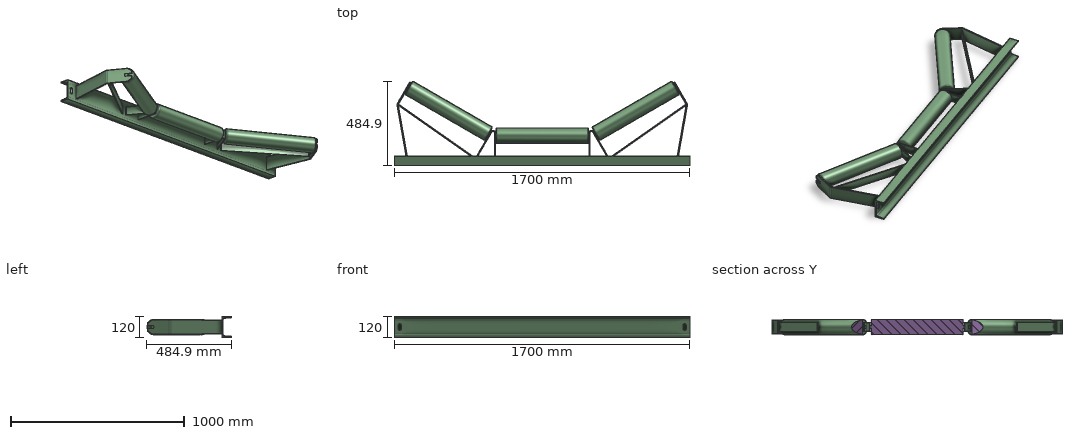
import cadquery as cq
import math


CHANNEL_LENGTH = 1700.0
CHANNEL_HEIGHT = 120.0
FLANGE_WIDTH = 55.0
WEB_THICKNESS = 7.0
FLANGE_MEAN_THICKNESS = 9.0
FLANGE_TAPER = 0.08
ROOT_RADIUS = 9.0
TOE_RADIUS = 4.5
MOUNT_SLOT_WIDTH = 18.0
MOUNT_SLOT_LENGTH = 38.0
MOUNT_SLOT_END_DISTANCE = 31.0

ROLLER_DIAMETER = 89.0
ROLLER_LENGTH = 530.0
ROLLER_EDGE_RADIUS = 5.0
SHAFT_DIAMETER = 20.0
SHAFT_FLATS = 15.0
END_GAP = 4.0
TROUGH_ANGLE = 30.0
CENTRE_AXIS_HEIGHT = 117.5
WING_CENTRE_X = 537.4
OVERALL_HEIGHT = 429.94

INNER_WIDTH = 50.0
INNER_PLATE = 6.0
INNER_BEND_RADIUS = 8.5
OUTER_WIDTH = 80.0
OUTER_PLATE = 8.0
OUTER_BEND_RADIUS = 8.0
OUTER_BEND_HEIGHT = 297.5
OUTER_LEG_LEAN = 10.0
OUTER_TIP_RISE = 32.0
TIP_CHAMFER_LENGTH = 24.0
TIP_CHAMFER_DEPTH = 15.0
BRACE_WIDTH = 50.0
BRACE_THICKNESS = 6.0
BRACE_ANGLE = 35.0

tilt = math.radians(TROUGH_ANGLE)
lean = math.radians(OUTER_LEG_LEAN)
brace_tilt = math.radians(BRACE_ANGLE)
roller_radius = ROLLER_DIAMETER / 2
support_distance = ROLLER_LENGTH / 2 + END_GAP

outward = cq.Vector(-math.cos(tilt), math.sin(tilt))
across = cq.Vector(math.sin(tilt), math.cos(tilt))
wing_centre = cq.Vector(
    -WING_CENTRE_X,
    OVERALL_HEIGHT
    - (ROLLER_LENGTH / 2 - ROLLER_EDGE_RADIUS) * math.sin(tilt)
    - (roller_radius - ROLLER_EDGE_RADIUS) * math.cos(tilt)
    - ROLLER_EDGE_RADIUS,
)


def mirrored_pair(left):
    return [left, left.mirror("YZ")]


def point_at_height(start, direction, height):
    """Point where the line through start meets the given Y."""
    return start + direction * ((height - start.y) / direction.y)


def meeting_point(start_a, direction_a, start_b, direction_b):
    """Point where two lines in the XY plane cross."""
    gap = start_b - start_a
    turn = direction_a.cross(direction_b).z
    return start_a + direction_a * (gap.cross(direction_b).z / turn)


def plate(points, width):
    """Flat profile in XY, extruded to the given width and centred on Z = 0."""
    outline = [(point.x, point.y) for point in points]
    return cq.Workplane("XY", origin=(0, 0, -width / 2)).polyline(outline).close().extrude(width)


def edge_at(point):
    return cq.selectors.NearestToPointSelector((point.x, point.y, 0))


def make_channel():
    half_height = CHANNEL_HEIGHT / 2
    toe = half_height - FLANGE_MEAN_THICKNESS + FLANGE_TAPER * FLANGE_WIDTH / 2
    root = toe - FLANGE_TAPER * (FLANGE_WIDTH - WEB_THICKNESS)
    upper = [
        (0, half_height),
        (-FLANGE_WIDTH, half_height),
        (-FLANGE_WIDTH, toe),
        (-WEB_THICKNESS, root),
    ]
    lower = [(y, -z) for y, z in reversed(upper)]
    body = (
        cq.Workplane("YZ", origin=(-CHANNEL_LENGTH / 2, 0, 0))
        .polyline(upper + lower).close().extrude(CHANNEL_LENGTH)
    )
    for side in (1, -1):
        for y, z, radius in ((-WEB_THICKNESS, root, ROOT_RADIUS), (-FLANGE_WIDTH, toe, TOE_RADIUS)):
            corner = cq.selectors.NearestToPointSelector((0, y, side * z))
            body = body.edges("|X").edges(corner).fillet(radius)
    slot_x = CHANNEL_LENGTH / 2 - MOUNT_SLOT_END_DISTANCE
    slots = (
        cq.Workplane("XZ").pushPoints([(-slot_x, 0), (slot_x, 0)])
        .slot2D(MOUNT_SLOT_LENGTH, MOUNT_SLOT_WIDTH, 90).extrude(WEB_THICKNESS)
    )
    return body.cut(slots)


def make_roller(centre, direction, start_plate, end_plate):
    """Roller with a shaft reaching the far faces of the plates at both ends."""
    middle = cq.Workplane(cq.Plane(origin=centre, xDir=(0, 0, 1), normal=direction))
    shell = (
        middle.workplane(offset=-ROLLER_LENGTH / 2)
        .circle(roller_radius).extrude(ROLLER_LENGTH)
        .edges("%CIRCLE").fillet(ROLLER_EDGE_RADIUS)
    )
    shaft_start = middle.workplane(offset=-support_distance - start_plate)
    shaft_length = 2 * support_distance + start_plate + end_plate
    shaft = shaft_start.circle(SHAFT_DIAMETER / 2).extrude(shaft_length)
    flats = shaft_start.rect(SHAFT_FLATS, SHAFT_DIAMETER).extrude(shaft_length)
    shaft = shaft.intersect(flats)
    return shell.union(shaft)


def make_inner_bracket(centre_roller, wing_roller):
    """Folded plate shared by the centre roller and the left wing roller."""
    up = cq.Vector(0, 1)
    centre_face = cq.Vector(-support_distance, CENTRE_AXIS_HEIGHT)
    centre_back = centre_face - cq.Vector(INNER_PLATE, 0)
    wing_face = wing_centre - outward * support_distance
    wing_back = wing_face - outward * INNER_PLATE
    outer_apex = meeting_point(centre_face, up, wing_face, across)
    inner_apex = meeting_point(centre_back, up, wing_back, across)
    body = plate(
        [
            point_at_height(centre_face, up, 0),
            outer_apex,
            point_at_height(wing_face, across, 0),
            point_at_height(wing_back, across, 0),
            inner_apex,
            point_at_height(centre_back, up, 0),
        ],
        INNER_WIDTH,
    )
    body = body.edges("|Z").edges(edge_at(outer_apex)).fillet(INNER_BEND_RADIUS + INNER_PLATE)
    body = body.edges("|Z").edges(edge_at(inner_apex)).fillet(INNER_BEND_RADIUS)
    return body.cut(centre_roller).cut(wing_roller)


outer_face = wing_centre + outward * support_distance
outer_back = outer_face + outward * OUTER_PLATE
leg_direction = cq.Vector(-math.sin(lean), math.cos(lean))
outer_bend_back = point_at_height(outer_back, across, OUTER_BEND_HEIGHT)
leg_face = outer_bend_back + cq.Vector(math.cos(lean), math.sin(lean)) * OUTER_PLATE
outer_bend_face = meeting_point(outer_face, across, leg_face, leg_direction)


def make_outer_bracket(wing_roller):
    """Bent plate whose chamfered tip holds the wing roller shaft in an open slot."""
    body = plate(
        [
            point_at_height(outer_bend_back, leg_direction, 0),
            outer_bend_back,
            outer_back + across * OUTER_TIP_RISE,
            outer_face + across * OUTER_TIP_RISE,
            outer_bend_face,
            point_at_height(leg_face, leg_direction, 0),
        ],
        OUTER_WIDTH,
    )
    body = body.edges("|Z").edges(edge_at(outer_bend_back)).fillet(OUTER_BEND_RADIUS + OUTER_PLATE)
    body = body.edges("|Z").edges(edge_at(outer_bend_face)).fillet(OUTER_BEND_RADIUS)

    leg_plane = cq.Workplane(cq.Plane(origin=outer_face, xDir=across, normal=outward))
    half_width = OUTER_WIDTH / 2
    for side in (1, -1):
        corner = leg_plane.polyline(
            [
                (OUTER_TIP_RISE, side * half_width),
                (OUTER_TIP_RISE - TIP_CHAMFER_LENGTH, side * half_width),
                (OUTER_TIP_RISE, side * (half_width - TIP_CHAMFER_DEPTH)),
            ]
        ).close()
        body = body.cut(corner.extrude(OUTER_PLATE))
    slot = leg_plane.center(OUTER_TIP_RISE / 2, 0).rect(OUTER_TIP_RISE, SHAFT_FLATS).extrude(OUTER_PLATE)
    return body.cut(slot).cut(wing_roller)


def make_brace(outer_bracket):
    """Flat bar from the bend of the outer bracket down to the channel."""
    down = cq.Vector(math.cos(brace_tilt), -math.sin(brace_tilt))
    half_thickness = cq.Vector(math.sin(brace_tilt), math.cos(brace_tilt)) * (BRACE_THICKNESS / 2)
    start = outer_bend_face - down * (OUTER_PLATE / 2)
    bar = plate(
        [
            start + half_thickness,
            point_at_height(start + half_thickness, down, 0),
            point_at_height(start - half_thickness, down, 0),
            start - half_thickness,
        ],
        BRACE_WIDTH,
    )
    return bar.cut(outer_bracket)


channel = make_channel()
centre_roller = make_roller(
    cq.Vector(0, CENTRE_AXIS_HEIGHT), cq.Vector(1, 0), INNER_PLATE, INNER_PLATE
)
wing_roller = make_roller(wing_centre, outward, INNER_PLATE, OUTER_PLATE)
inner_bracket = make_inner_bracket(centre_roller, wing_roller)
outer_bracket = make_outer_bracket(wing_roller)
brace = make_brace(outer_bracket)

bodies = [channel, centre_roller]
for left_body in (wing_roller, inner_bracket, outer_bracket, brace):
    bodies += mirrored_pair(left_body)

result = cq.Compound.makeCompound([body.val() for body in bodies])